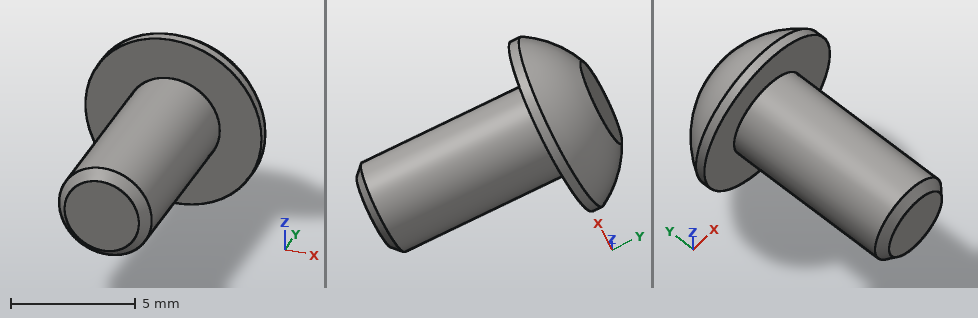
import cadquery as cq
import math

total_length = 10.24
shank_length = 8.0
shank_radius = 4.0 / 2
tip_chamfer = 0.4
head_radius = 7.6 / 2
head_height = total_length - shank_length
rim_height = 0.45
crown_flat_radius = 1.85

dome_rise = head_height - rim_height
center_below_rim = (head_radius**2 - crown_flat_radius**2 - dome_rise**2) / (2 * dome_rise)
dome_center_y = rim_height - center_below_rim
dome_radius = math.hypot(head_radius, center_below_rim)
rim_angle = math.atan2(center_below_rim, head_radius)
crown_angle = math.atan2(head_height - dome_center_y, crown_flat_radius)
middle_angle = (rim_angle + crown_angle) / 2
dome_middle = (
    dome_radius * math.cos(middle_angle),
    dome_center_y + dome_radius * math.sin(middle_angle),
)

half_profile = (
    cq.Workplane("XY")
    .moveTo(0, -shank_length)
    .lineTo(shank_radius - tip_chamfer, -shank_length)
    .lineTo(shank_radius, -shank_length + tip_chamfer)
    .lineTo(shank_radius, 0)
    .lineTo(head_radius, 0)
    .lineTo(head_radius, rim_height)
    .threePointArc(dome_middle, (crown_flat_radius, head_height))
    .lineTo(0, head_height)
    .close()
)
result = half_profile.revolve(360, (0, 0, 0), (0, 1, 0))